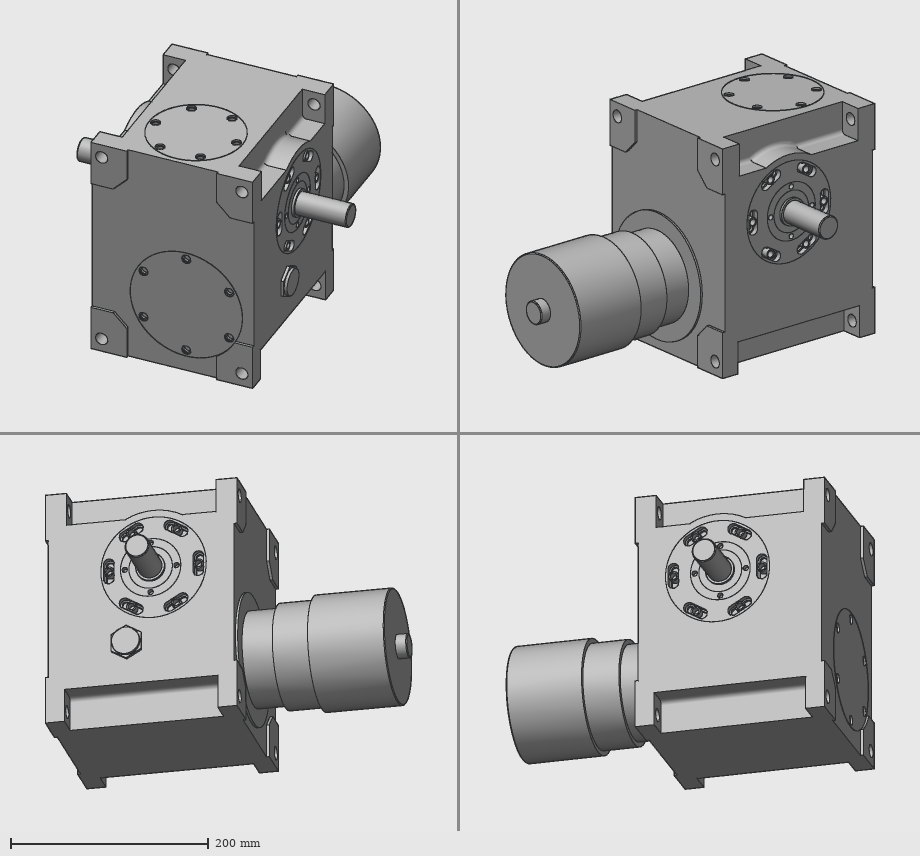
import cadquery as cq


BODY_WIDTH = 180
BODY_DEPTH = 200
BODY_TOP = 90
BODY_BOTTOM = -160
BODY_HEIGHT = BODY_TOP - BODY_BOTTOM
BODY_FRONT = -110
BODY_BACK = BODY_FRONT + BODY_DEPTH
SIDE_X = BODY_WIDTH / 2
MIDDLE_Y = (BODY_FRONT + BODY_BACK) / 2
MIDDLE_Z = (BODY_TOP + BODY_BOTTOM) / 2

PAD_WIDTH = 40
PAD_HEIGHT = 50
PAD_THICKNESS = 3
PAD_CHAMFER = 15
BOLT_DIAMETER = 13.5
BOLT_FROM_SIDE = 12
BOLT_FROM_END = 15
FRONT_FACE = BODY_FRONT + PAD_THICKNESS
BACK_FACE = BODY_BACK - PAD_THICKNESS

POCKET_DEPTH = 25
POCKET_HEIGHT = 35
POCKET_FILLET = 5
TOP_POCKET_END_WALL = 22
BOTTOM_POCKET_END_WALL = 20
ARCH_RADIUS = 62.5

SCREW_COUNT = 6
SCREW_RECESS_DIAMETER = 10
SCREW_RECESS_DEPTH = 2
SCREW_SOCKET_DIAMETER = 7
SCREW_SOCKET_DEPTH = 5
COVER_RISE = 0.5
FRONT_COVER_RADIUS = 62.5
FRONT_SCREW_RADIUS = 55
TOP_COVER_RADIUS = 52
TOP_SCREW_RADIUS = 45
TOP_COVER_Y = BODY_FRONT + 60

SIDE_COVER_RADIUS = 55
SIDE_COVER_Y = 3
SIDE_COVER_RISE = 0.2
SLOT_RADIUS = 46.7
SLOT_TRAVEL = 16
SLOT_WIDTH = 11
SLOT_DEPTH = 6
INNER_SLOT_WIDTH = 7.5
INNER_SLOT_DEPTH = 9
SLOT_HEAD_DIAMETER = 10
SLOT_HEAD_TOP = 1
SEAL_RING_RADIUS = 31.5
SEAL_BORE_RADIUS = 22.7
SEAL_RING_RISE = 0.2
SEAL_HOLE_RADIUS = 27
SEAL_HOLE_DIAMETER = 5.5
SEAL_HOLE_DEPTH = 6
SEAL_HOLE_COUNT = 4

SHAFT_LENGTH = 300
SHAFT_DIAMETER = 25
SHAFT_CHAMFER = 1
COLLAR_DIAMETER = 30
COLLAR_WIDTH = 3

MOTOR_X = 15
MOTOR_Z = -80
FLANGE_RADIUS = 69
FLANGE_THICKNESS = 2.3
MOTOR_NECK_RADIUS = 50
MOTOR_STEP_RADIUS = 55
MOTOR_RADIUS = 60
MOTOR_SHAFT_RADIUS = 12.5
NECK_LENGTH = 32
STEP_LENGTH = 38
MOTOR_LENGTH = 80
MOTOR_SHAFT_LENGTH = 12
MOTOR_CHAMFER = 1

PLUG_Y = BODY_FRONT + 85
PLUG_HEX_DIAMETER = 36
PLUG_HEX_HEIGHT = 3.3
PLUG_CAP_RADIUS = 14.5
PLUG_HEIGHT = 6.6


def cylinder(start, direction, radius, length):
    return cq.Workplane(cq.Solid.makeCylinder(radius, length, cq.Vector(*start), cq.Vector(*direction)))


def block(x_range, y_range, z_range):
    size = [high - low for low, high in (x_range, y_range, z_range)]
    corner = cq.Vector(x_range[0], y_range[0], z_range[0])
    return cq.Workplane(cq.Solid.makeBox(*size, corner))


def mirrored_pair(shape):
    return shape.union(shape.mirror("YZ"))


def make_housing():
    core = block((-SIDE_X, SIDE_X), (FRONT_FACE, BACK_FACE), (BODY_BOTTOM, BODY_TOP))
    pad = (
        cq.Workplane("XZ", origin=(0, BODY_BACK, 0))
        .moveTo(-SIDE_X, BODY_TOP)
        .lineTo(-SIDE_X + PAD_WIDTH, BODY_TOP)
        .lineTo(-SIDE_X + PAD_WIDTH, BODY_TOP - PAD_HEIGHT + PAD_CHAMFER)
        .lineTo(-SIDE_X + PAD_WIDTH - PAD_CHAMFER, BODY_TOP - PAD_HEIGHT)
        .lineTo(-SIDE_X, BODY_TOP - PAD_HEIGHT)
        .close()
        .extrude(BODY_DEPTH)
    )
    top_pads = mirrored_pair(pad)
    bottom_pads = top_pads.mirror("XY", (0, 0, MIDDLE_Z))
    return core.union(top_pads).union(bottom_pads)


def make_top_pocket():
    """Pocket cutter whose floor arches over the side cover, with a filleted inner edge."""
    length = BODY_DEPTH - 2 * TOP_POCKET_END_WALL
    pocket = block(
        (-SIDE_X, -SIDE_X + POCKET_DEPTH),
        (MIDDLE_Y - length / 2, MIDDLE_Y + length / 2),
        (BODY_TOP - POCKET_HEIGHT, BODY_TOP),
    )
    arch = cylinder((-SIDE_X, SIDE_COVER_Y, 0), (1, 0, 0), ARCH_RADIUS, POCKET_DEPTH)
    margin = 1
    inner_floor_edge = cq.selectors.BoxSelector(
        (-SIDE_X + POCKET_DEPTH - margin, BODY_FRONT, BODY_TOP - POCKET_HEIGHT - margin),
        (-SIDE_X + POCKET_DEPTH + margin, BODY_BACK, BODY_TOP - margin),
        boundingbox=True,
    )
    return pocket.cut(arch).edges(inner_floor_edge).fillet(POCKET_FILLET)


def make_bottom_pocket():
    length = BODY_DEPTH - 2 * BOTTOM_POCKET_END_WALL
    pocket = block(
        (-SIDE_X, -SIDE_X + POCKET_DEPTH),
        (MIDDLE_Y - length / 2, MIDDLE_Y + length / 2),
        (BODY_BOTTOM, BODY_BOTTOM + POCKET_HEIGHT),
    )
    return pocket.edges(">X and >Z").fillet(POCKET_FILLET)


def cut_bolt_holes(body):
    return (
        body.copyWorkplane(cq.Workplane("XZ", origin=(0, BODY_BACK, MIDDLE_Z)))
        .rarray(BODY_WIDTH - 2 * BOLT_FROM_SIDE, BODY_HEIGHT - 2 * BOLT_FROM_END, 2, 2)
        .circle(BOLT_DIAMETER / 2)
        .cutBlind(BODY_DEPTH)
    )


def add_screwed_cover(body, face, radius, screw_radius, first_angle):
    """Add a thin round cover on a face plane and sink its ring of screws."""
    body = body.union(cq.Workplane(face).circle(radius).extrude(COVER_RISE))
    outside = cq.Workplane(face).workplane(offset=COVER_RISE)
    screw_places = outside.polarArray(screw_radius, first_angle, 360, SCREW_COUNT)
    recesses = screw_places.circle(SCREW_RECESS_DIAMETER / 2).extrude(-SCREW_RECESS_DEPTH)
    sockets = screw_places.circle(SCREW_SOCKET_DIAMETER / 2).extrude(-SCREW_SOCKET_DEPTH)
    return body.cut(recesses).cut(sockets)


def add_front_cover(body):
    pad_clearance = cylinder((MOTOR_X, BODY_FRONT, MOTOR_Z), (0, 1, 0), FRONT_COVER_RADIUS, PAD_THICKNESS)
    face = cq.Plane((MOTOR_X, FRONT_FACE, MOTOR_Z), (1, 0, 0), (0, -1, 0))
    first_angle = 90
    body = body.cut(pad_clearance)
    return add_screwed_cover(body, face, FRONT_COVER_RADIUS, FRONT_SCREW_RADIUS, first_angle)


def add_top_cover(body):
    face = cq.Plane((0, TOP_COVER_Y, BODY_TOP), (1, 0, 0), (0, 0, 1))
    first_angle = 0
    return add_screwed_cover(body, face, TOP_COVER_RADIUS, TOP_SCREW_RADIUS, first_angle)


def make_side_cover():
    return cylinder((-SIDE_X, SIDE_COVER_Y, 0), (-1, 0, 0), SIDE_COVER_RADIUS, SIDE_COVER_RISE)


def make_seal_ring():
    cover_face = -SIDE_X - SIDE_COVER_RISE
    ring = cylinder((cover_face, 0, 0), (-1, 0, 0), SEAL_RING_RADIUS, SEAL_RING_RISE)
    bore = cylinder((cover_face, 0, 0), (-1, 0, 0), SEAL_BORE_RADIUS, SEAL_RING_RISE)
    holes = (
        cq.Workplane(cq.Plane((cover_face - SEAL_RING_RISE, 0, 0), (0, -1, 0), (-1, 0, 0)))
        .polarArray(SEAL_HOLE_RADIUS, 0, 360, SEAL_HOLE_COUNT)
        .circle(SEAL_HOLE_DIAMETER / 2)
        .extrude(-SEAL_HOLE_DEPTH)
    )
    return ring.cut(bore), holes


def make_side_slots():
    """Cutter for the stepped slots that leaves a hollow screw head standing in the middle of each."""
    tangent_angle = 90
    face = cq.Plane((-SIDE_X - SIDE_COVER_RISE, SIDE_COVER_Y, 0), (0, -1, 0), (-1, 0, 0))
    heads = (
        cq.Workplane(face)
        .workplane(offset=-SLOT_HEAD_TOP)
        .polarArray(SLOT_RADIUS, 0, 360, SCREW_COUNT)
        .circle(SLOT_HEAD_DIAMETER / 2)
        .circle(SCREW_SOCKET_DIAMETER / 2)
        .extrude(-INNER_SLOT_DEPTH)
    )
    slot_places = cq.Workplane(face).polarArray(SLOT_RADIUS, 0, 360, SCREW_COUNT)
    outer_length = SLOT_TRAVEL + SLOT_WIDTH
    inner_length = SLOT_TRAVEL + INNER_SLOT_WIDTH
    outer_slots = slot_places.slot2D(outer_length, SLOT_WIDTH, tangent_angle).extrude(-SLOT_DEPTH)
    inner_slots = slot_places.slot2D(inner_length, INNER_SLOT_WIDTH, tangent_angle).extrude(-INNER_SLOT_DEPTH)
    return outer_slots.union(inner_slots).cut(heads)


def add_side_covers(body):
    ring, ring_holes = make_seal_ring()
    body = body.union(mirrored_pair(make_side_cover().union(ring)))
    return body.cut(mirrored_pair(make_side_slots().union(ring_holes)))


def make_output_shaft():
    shaft = cylinder((-SHAFT_LENGTH / 2, 0, 0), (1, 0, 0), SHAFT_DIAMETER / 2, SHAFT_LENGTH)
    shaft = shaft.faces("<X or >X").chamfer(SHAFT_CHAMFER)
    collar_length = BODY_WIDTH + 2 * COLLAR_WIDTH
    return shaft.union(cylinder((-collar_length / 2, 0, 0), (1, 0, 0), COLLAR_DIAMETER / 2, collar_length))


def make_motor():
    flange = cylinder((MOTOR_X, BACK_FACE, MOTOR_Z), (0, 1, 0), FLANGE_RADIUS, FLANGE_THICKNESS)
    step_y = BODY_BACK + NECK_LENGTH
    motor_y = step_y + STEP_LENGTH
    end_y = motor_y + MOTOR_LENGTH
    neck = cylinder((MOTOR_X, BACK_FACE, MOTOR_Z), (0, 1, 0), MOTOR_NECK_RADIUS, step_y - BACK_FACE)
    step = cylinder((MOTOR_X, step_y, MOTOR_Z), (0, 1, 0), MOTOR_STEP_RADIUS, STEP_LENGTH)
    motor = cylinder((MOTOR_X, motor_y, MOTOR_Z), (0, 1, 0), MOTOR_RADIUS, MOTOR_LENGTH)
    shaft = cylinder((MOTOR_X, end_y, MOTOR_Z), (0, 1, 0), MOTOR_SHAFT_RADIUS, MOTOR_SHAFT_LENGTH)
    motor = motor.faces(">Y").chamfer(MOTOR_CHAMFER)
    shaft = shaft.faces(">Y").chamfer(MOTOR_CHAMFER)
    return flange.union(neck).union(step).union(motor).union(shaft)


def make_oil_plug():
    face = cq.Plane((SIDE_X, PLUG_Y, MOTOR_Z), (0, 0, 1), (1, 0, 0))
    hexagon = cq.Workplane(face).polygon(6, PLUG_HEX_DIAMETER).extrude(PLUG_HEX_HEIGHT)
    return hexagon.union(cq.Workplane(face).circle(PLUG_CAP_RADIUS).extrude(PLUG_HEIGHT))


housing = make_housing()
housing = housing.cut(mirrored_pair(make_top_pocket()))
housing = housing.cut(mirrored_pair(make_bottom_pocket()))
housing = cut_bolt_holes(housing)
housing = add_front_cover(housing)
housing = add_top_cover(housing)
housing = add_side_covers(housing)
result = housing.union(make_output_shaft()).union(make_motor()).union(make_oil_plug())